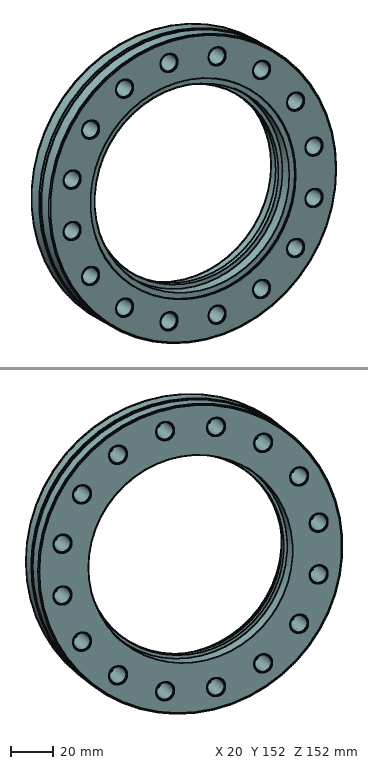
import cadquery as cq

outer_diameter = 152.0
thickness = 20.0
rim_chamfer = 0.6

front_recess_diameter = 101.8
front_recess_depth = 8.5
lip_diameter = 98.5
lip_width = 3.0
rear_recess_diameter = 102.8
rear_mouth_diameter = 108.5
rear_mouth_depth = 1.2

groove_width = 2.3
groove_depth = 0.2
groove_center = 10.0

bolt_count = 16
bolt_circle_diameter = 130.3
bolt_hole_diameter = 8.4
bolt_hole_chamfer = 0.5


def disc(diameter, start, length):
    """Cylinder along +X that begins at x = start."""
    return cq.Workplane("YZ", origin=(start, 0, 0)).circle(diameter / 2).extrude(length)


def ring_body():
    return disc(outer_diameter, 0, thickness).edges().chamfer(rim_chamfer)


def stepped_bore():
    lip_end = front_recess_depth + lip_width
    front = disc(front_recess_diameter, 0, front_recess_depth)
    lip = disc(lip_diameter, 0, thickness)
    rear = disc(rear_recess_diameter, lip_end, thickness - lip_end)
    mouth = disc(rear_mouth_diameter, thickness - rear_mouth_depth, rear_mouth_depth)
    return front.union(lip).union(rear).union(mouth)


def rim_groove():
    floor_diameter = outer_diameter - 2 * groove_depth
    start = groove_center - groove_width / 2
    return disc(outer_diameter, start, groove_width).cut(disc(floor_diameter, start, groove_width))


def bolt_hole_cutter():
    """One through hole on the X axis, flared by a chamfer at both ends."""
    hole_radius = bolt_hole_diameter / 2
    mouth_radius = hole_radius + bolt_hole_chamfer
    return (
        cq.Workplane("XY")
        .lineTo(0, mouth_radius)
        .lineTo(bolt_hole_chamfer, hole_radius)
        .lineTo(thickness - bolt_hole_chamfer, hole_radius)
        .lineTo(thickness, mouth_radius)
        .lineTo(thickness, 0)
        .close()
        .revolve(360, (0, 0, 0), (1, 0, 0))
    )


result = ring_body().cut(stepped_bore()).cut(rim_groove())

bolt_pitch = 360 / bolt_count
hole_cutter = bolt_hole_cutter().translate((0, bolt_circle_diameter / 2, 0))
for index in range(bolt_count):
    angle = (index + 0.5) * bolt_pitch
    result = result.cut(hole_cutter.rotate((0, 0, 0), (1, 0, 0), angle))